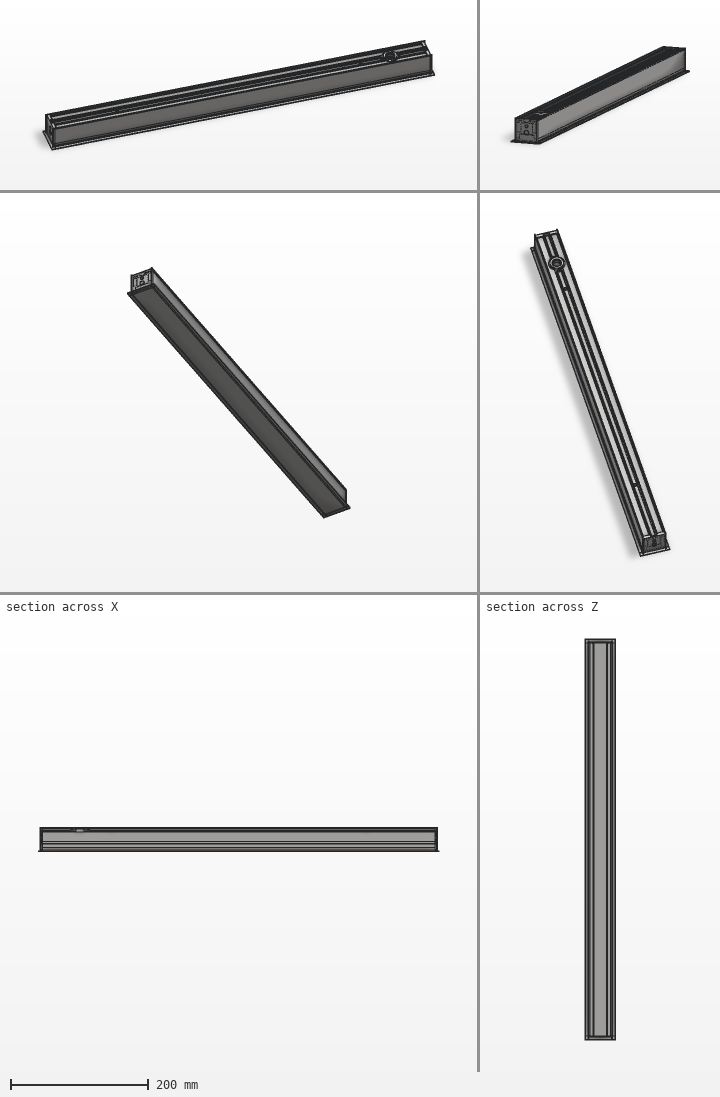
import cadquery as cq

LENGTH = 581.5
FLANGE_WIDTH = 44.0
HEIGHT = 35.0
HALF_WIDTH = 17.5
SKIN = 1.0
INNER_HALF_WIDTH = HALF_WIDTH - SKIN
FLANGE_THICKNESS = 1.0
FOOT_HEIGHT = 1.55
FOOT_HALF_WIDTH = 18.0

PROFILE_END = 285.0
PLATE_FACE = 286.5
CHEEK_TIP = 288.5
CHEEK_ROUNDING = 0.5
TAB_END = 282.0
FLANGE_CORNER_RADIUS = 0.3
UPPER_RECESS_DIAMETER = 4.5
UPPER_RECESS_Z = 24.0
LOWER_RECESS_DIAMETER = 7.0
LOWER_RECESS_Z = 14.5
PLATE_RECESS_DEPTH = 0.9

DECK_Z = 32.5
RECESS_Z = 31.0
SLOT_FLOOR_Z = 29.5
RECESS_INNER_X = 6.1
RECESS_OUTER_X = 14.8
GROOVE_HALF_WIDTH = 4.35
SLOT_HALF_WIDTH = 2.6
MOUNTING_HOLE_DIAMETER = 4.5
MOUNTING_HOLE_Y = 185.0

CHAMBER_TOP_Z = 28.5
SHELF_BOTTOM_Z = 11.0
SHELF_THICKNESS = 0.9
SHELF_TOP_Z = SHELF_BOTTOM_Z + SHELF_THICKNESS
SIDE_CHAMBER_BOTTOM_Z = 14.5
CENTRE_CHAMBER_HALF_WIDTH = 9.0
SIDE_CHAMBER_INNER_X = CENTRE_CHAMBER_HALF_WIDTH + SKIN
LIGHT_CHANNEL_HALF_WIDTH = 11.35
LEDGE_Z = 6.0
DIFFUSER_THICKNESS = 2.6

GLAND_Y = 230.0
GLAND_PAD_LENGTH = 27.0
GLAND_DIAMETER = 24.0
GLAND_TOP_DIAMETER = 20.0
GLAND_STEM_DIAMETER = 20.0
GLAND_BORE_DIAMETER = 13.5
CABLE_HOLE_DIAMETER = 10.5
GLAND_BORE_DEPTH = 2.5


def block(x_range, y_range, z_range):
    """Box given by its lower and upper limit along each axis."""
    size = [upper - lower for lower, upper in (x_range, y_range, z_range)]
    corner = (x_range[0], y_range[0], z_range[0])
    return cq.Workplane("XY").box(*size, centered=False).translate(corner)


def bar(x_range, z_range):
    """Box that runs the full length of the profile."""
    return block(x_range, (-PROFILE_END, PROFILE_END), z_range)


def centred_bar(half_width, z_range):
    return bar((-half_width, half_width), z_range)


def both_sides(shape):
    """The shape together with its mirror image across the plane x = 0."""
    return shape.union(shape.mirror("YZ"))


def vertical_cylinder(diameter, y, z_range):
    height = z_range[1] - z_range[0]
    return cq.Workplane("XY", origin=(0, y, z_range[0])).circle(diameter / 2).extrude(height)


def make_profile():
    """Extruded housing, open below, with a stepped deck and hollow chambers."""
    profile = centred_bar(FLANGE_WIDTH / 2, (0, FLANGE_THICKNESS))
    profile = profile.union(centred_bar(FOOT_HALF_WIDTH, (0, FOOT_HEIGHT)))
    profile = profile.union(centred_bar(HALF_WIDTH, (0, HEIGHT)))

    profile = profile.cut(centred_bar(INNER_HALF_WIDTH, (DECK_Z, HEIGHT)))
    profile = profile.cut(both_sides(bar((RECESS_INNER_X, RECESS_OUTER_X), (RECESS_Z, DECK_Z))))
    profile = profile.cut(centred_bar(GROOVE_HALF_WIDTH, (RECESS_Z, DECK_Z)))
    profile = profile.cut(centred_bar(SLOT_HALF_WIDTH, (SLOT_FLOOR_Z, RECESS_Z)))

    pad_range = (GLAND_Y - GLAND_PAD_LENGTH / 2, GLAND_Y + GLAND_PAD_LENGTH / 2)
    pad = block((-RECESS_INNER_X, RECESS_INNER_X), pad_range, (SLOT_FLOOR_Z, DECK_Z))
    profile = profile.union(pad)

    profile = profile.cut(centred_bar(CENTRE_CHAMBER_HALF_WIDTH, (SHELF_TOP_Z, CHAMBER_TOP_Z)))
    side_chamber = bar(
        (SIDE_CHAMBER_INNER_X, RECESS_OUTER_X), (SIDE_CHAMBER_BOTTOM_Z, CHAMBER_TOP_Z)
    )
    profile = profile.cut(both_sides(side_chamber))

    profile = profile.cut(centred_bar(LIGHT_CHANNEL_HALF_WIDTH, (LEDGE_Z, SHELF_BOTTOM_Z)))
    profile = profile.cut(centred_bar(INNER_HALF_WIDTH, (0, LEDGE_Z)))

    deck_range = (CHAMBER_TOP_Z, DECK_Z)
    for y in (-MOUNTING_HOLE_Y, MOUNTING_HOLE_Y):
        profile = profile.cut(vertical_cylinder(MOUNTING_HOLE_DIAMETER, y, deck_range))
    return profile.cut(vertical_cylinder(GLAND_STEM_DIAMETER, GLAND_Y, deck_range))


def make_end_cap(end):
    """Cap for the +Y end (end = 1) or the -Y end (end = -1)."""
    flange = block(
        (-FLANGE_WIDTH / 2, FLANGE_WIDTH / 2), (PROFILE_END, LENGTH / 2), (0, FLANGE_THICKNESS)
    )
    flange = flange.edges("|Z and >Y").fillet(FLANGE_CORNER_RADIUS)
    plate = block((-HALF_WIDTH, HALF_WIDTH), (PROFILE_END, PLATE_FACE), (0, HEIGHT))

    cheek = block((INNER_HALF_WIDTH, HALF_WIDTH), (PROFILE_END, CHEEK_TIP), (0, HEIGHT))
    cheek = cheek.edges("|Z and >X and >Y").fillet(CHEEK_ROUNDING)
    foot = block((INNER_HALF_WIDTH, FOOT_HALF_WIDTH), (PROFILE_END, CHEEK_TIP), (0, FOOT_HEIGHT))

    tab = block((GROOVE_HALF_WIDTH, INNER_HALF_WIDTH), (TAB_END, PROFILE_END), (DECK_Z, HEIGHT))

    cap = flange.union(plate).union(both_sides(cheek.union(foot))).union(both_sides(tab))

    plate_recesses = ((UPPER_RECESS_DIAMETER, UPPER_RECESS_Z), (LOWER_RECESS_DIAMETER, LOWER_RECESS_Z))
    for diameter, z in plate_recesses:
        recess = cq.Workplane("XZ", origin=(0, PLATE_FACE, z)).circle(diameter / 2)
        cap = cap.cut(recess.extrude(PLATE_RECESS_DEPTH))
    return cap if end > 0 else cap.mirror("XZ")


def make_diffuser():
    """Flat cover that closes the mouth of the profile."""
    return centred_bar(INNER_HALF_WIDTH, (0, DIFFUSER_THICKNESS))


def make_gland():
    """Round cable gland with a 45 degree rim, a stem through the deck and a stepped bore."""
    rim_chamfer = (GLAND_DIAMETER - GLAND_TOP_DIAMETER) / 2
    head = vertical_cylinder(GLAND_DIAMETER, GLAND_Y, (DECK_Z, HEIGHT))
    head = head.faces(">Z").chamfer(rim_chamfer)
    stem = vertical_cylinder(GLAND_STEM_DIAMETER, GLAND_Y, (CHAMBER_TOP_Z, DECK_Z))
    bore = vertical_cylinder(GLAND_BORE_DIAMETER, GLAND_Y, (HEIGHT - GLAND_BORE_DEPTH, HEIGHT))
    cable_hole = vertical_cylinder(CABLE_HOLE_DIAMETER, GLAND_Y, (CHAMBER_TOP_Z, HEIGHT))
    return head.union(stem).cut(bore).cut(cable_hole)


profile = make_profile()
end_caps = [make_end_cap(end) for end in (-1, 1)]
diffuser = make_diffuser()
gland = make_gland()

result = cq.Compound.makeCompound(
    [profile.val(), *[cap.val() for cap in end_caps], diffuser.val(), gland.val()]
)